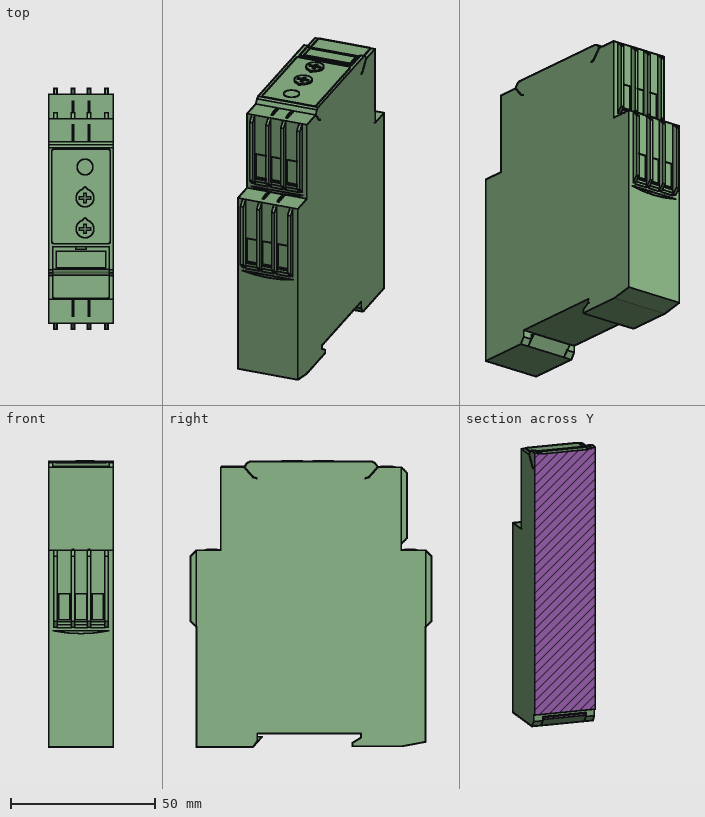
import cadquery as cq

WIDTH = 22.5
DEPTH = 83.6
BASE_Y = 39.8
HEAD_Y = 31.3
STEP_Z = 68.3
HEAD_Z = 97.1
CAP_Z = 99.1
CAP_FLAT_Y = 21.2
CAP_Y = 23.3
CAP_FACET_Y = 22.2
CAP_FACET_Z = 98.6

RAIL_Z = 4.7
RAIL_BACK_Y = 17.3
RAIL_FRONT_Y = -18.6
LIP_Y = 14.3
LIP_TIP_Z = 1.5
LIP_ROOT_Z = 3.3
BACK_FOOT_Z = 0.3
BACK_BEVEL_Y = 31.8
BACK_BEVEL_Z = 1.8
FRONT_FOOT_Y = -20.2
FRONT_BEVEL_Z = 2.2
LATCH_TIP_Y = -16.9
LATCH_TIP_Z = 3.7
LATCH_WIDTH = 15.9

RIB_OUT = DEPTH / 2 - BASE_Y
RIB_WIDTH = 1.1
RIB_LENGTH = 26.6
INNER_RIB_X = 2.8
OUTER_RIB_X = 8.8
RIB_XS = (-OUTER_RIB_X, -INNER_RIB_X, INNER_RIB_X, OUTER_RIB_X)
OUTER_BAY_X = (OUTER_RIB_X + INNER_RIB_X) / 2
OUTER_BAY_WIDTH = OUTER_RIB_X - INNER_RIB_X - RIB_WIDTH
INNER_BAY_WIDTH = 2 * INNER_RIB_X - RIB_WIDTH
BAYS = ((-OUTER_BAY_X, OUTER_BAY_WIDTH), (0, INNER_BAY_WIDTH), (OUTER_BAY_X, OUTER_BAY_WIDTH))
WINDOW_WIDTH = 4.0
WINDOW_HEIGHT = 8.9
WINDOW_DROP = 19.6
RELIEF = 0.2
GROOVE_HEIGHT = 1.1
GROOVE_DROP = 24.8
GRIP_HALF_WIDTH = 9.5
GRIP_DROP = 27.9
GRIP_SAG = 1.0
MARK_WIDTH = 0.6
MARK_LENGTH = 6.0
MARK_RISE = 0.4

LABEL_WIDTH = 20.2
LABEL_FRONT_Y = -12.0
LABEL_BACK_Y = 20.7
LABEL_RADIUS = 0.6
LABEL_Z = CAP_Z - RELIEF
CONTROL_X = 1.4
LAMP_Y = 14.5
LAMP_DIAMETER = 5.5
LAMP_DEPTH = 0.1
DIAL_YS = (3.8, -7.0)
DIAL_RADIUS = 3.1
DIAL_TOP_Z = 99.4
POINTER_REACH = 3.9
POINTER_HALF_WIDTH = 1.2
POINTER_BASE = 2.8
CROSS_LENGTH = 4.0
CROSS_HEIGHT = 3.2
CROSS_ARM = 0.8

LID_WIDTH = 19.6
LID_BACK_Y = -13.2
LID_FRONT_Y = -31.0
LID_RAISE = 0.3
LID_SINK = 0.3
LID_RADIUS = 0.6
LID_WINDOW_WIDTH = 17.3
LID_WINDOW_BACK_Y = -14.7
LID_WINDOW_FRONT_Y = -20.4
NOTCH_WIDTH = 3.5
NOTCH_LENGTH = 0.8

SEAM_DEPTH = 0.1
SEAM_WIDTH = 0.2
SEAM_BEND = (20.1, 93.5)
SEAM_END = (18.9, 93.1)


def side_profile(width):
    """Sketch plane whose local x, y are Y, Z; extrude(width) runs toward +X, centred on X = 0."""
    return cq.Workplane("YZ", origin=(-width / 2, 0, 0))


def box(x_mid, x_size, y_range, z_range):
    y_min, y_max = sorted(y_range)
    z_min, z_max = sorted(z_range)
    return (
        cq.Workplane("XY", origin=(x_mid, (y_min + y_max) / 2, z_min))
        .rect(x_size, y_max - y_min)
        .extrude(z_max - z_min)
    )


def make_housing():
    outline = (
        side_profile(WIDTH)
        .moveTo(-BASE_Y, 0)
        .lineTo(-BASE_Y, STEP_Z)
        .lineTo(-HEAD_Y, STEP_Z)
        .lineTo(-HEAD_Y, HEAD_Z)
        .lineTo(-CAP_Y, HEAD_Z)
        .lineTo(-CAP_FACET_Y, CAP_FACET_Z)
        .lineTo(-CAP_FLAT_Y, CAP_Z)
        .lineTo(CAP_FLAT_Y, CAP_Z)
        .lineTo(CAP_FACET_Y, CAP_FACET_Z)
        .lineTo(CAP_Y, HEAD_Z)
        .lineTo(HEAD_Y, HEAD_Z)
        .lineTo(HEAD_Y, STEP_Z)
        .lineTo(BASE_Y, STEP_Z)
        .lineTo(BASE_Y, BACK_BEVEL_Z)
        .lineTo(BACK_BEVEL_Y, BACK_FOOT_Z)
        .lineTo(LIP_Y, BACK_FOOT_Z)
        .lineTo(LIP_Y, LIP_TIP_Z)
        .lineTo(RAIL_BACK_Y, LIP_ROOT_Z)
        .lineTo(RAIL_BACK_Y, RAIL_Z)
        .lineTo(RAIL_FRONT_Y, RAIL_Z)
        .lineTo(RAIL_FRONT_Y, FRONT_BEVEL_Z)
        .lineTo(FRONT_FOOT_Y, 0)
        .close()
    )
    return outline.extrude(WIDTH)


def make_latch():
    return (
        side_profile(LATCH_WIDTH)
        .moveTo(LATCH_TIP_Y, LATCH_TIP_Z)
        .lineTo(FRONT_FOOT_Y, 0)
        .lineTo(FRONT_FOOT_Y, LATCH_TIP_Z)
        .close()
        .extrude(LATCH_WIDTH)
    )


def make_rib(x, face_y, top_z):
    """Vertical rib with 45 degree ends on the front face at Y = -face_y."""
    bottom_z = top_z - RIB_LENGTH
    tip_y = -face_y - RIB_OUT
    return (
        cq.Workplane("YZ", origin=(x - RIB_WIDTH / 2, 0, 0))
        .moveTo(-face_y, top_z)
        .lineTo(tip_y, top_z - RIB_OUT)
        .lineTo(tip_y, bottom_z + RIB_OUT)
        .lineTo(-face_y, bottom_z)
        .close()
        .extrude(RIB_WIDTH)
    )


def make_mark(x, start_y, shoulder_z):
    """Low arched mark running outward (-Y) from start_y along a shoulder."""
    return (
        cq.Workplane("YZ", origin=(x - MARK_WIDTH / 2, 0, 0))
        .moveTo(start_y, shoulder_z)
        .threePointArc(
            (start_y - MARK_LENGTH / 2, shoulder_z + MARK_RISE),
            (start_y - MARK_LENGTH, shoulder_z),
        )
        .close()
        .extrude(MARK_WIDTH)
    )


def make_terminal_recesses(face_y, top_z):
    """Wire windows, stepped grooves and arched grip recess of one front terminal block."""
    outside_y = -face_y - RIB_OUT
    grip_z = top_z - GRIP_DROP
    recesses = (
        cq.Workplane("XZ", origin=(0, -face_y + RELIEF, 0))
        .moveTo(-GRIP_HALF_WIDTH, grip_z)
        .threePointArc((0, grip_z - GRIP_SAG), (GRIP_HALF_WIDTH, grip_z))
        .close()
        .extrude(RELIEF)
    )
    window_z = top_z - WINDOW_DROP
    window_span = (window_z - WINDOW_HEIGHT / 2, window_z + WINDOW_HEIGHT / 2)
    for x, bay_width in BAYS:
        recesses = recesses.add(box(x, WINDOW_WIDTH, (outside_y, -face_y + RELIEF), window_span))
        for level in (0, 1):
            groove_top = top_z - GROOVE_DROP - level * GROOVE_HEIGHT
            depth = RELIEF * (level + 1) / 2
            groove_span = (groove_top - GROOVE_HEIGHT, groove_top)
            recesses = recesses.add(box(x, bay_width, (outside_y, -face_y + depth), groove_span))
    return recesses.combine()


def add_terminal_block(body, face_y, top_z, mark_y, at_back):
    """Build a block on the front face, mirrored to the back face when at_back is set."""
    def place(shape):
        return shape.mirror("XZ") if at_back else shape

    body = body.cut(place(make_terminal_recesses(face_y, top_z)))
    for x in RIB_XS:
        body = body.union(place(make_rib(x, face_y, top_z)))
    for x in (-INNER_RIB_X, INNER_RIB_X):
        body = body.union(place(make_mark(x, mark_y, top_z)))
    return body


def cut_label(body):
    label_mid_y = (LABEL_FRONT_Y + LABEL_BACK_Y) / 2
    label = (
        cq.Workplane("XY", origin=(0, label_mid_y, LABEL_Z))
        .rect(LABEL_WIDTH, LABEL_BACK_Y - LABEL_FRONT_Y)
        .extrude(RELIEF)
        .edges("|Z")
        .fillet(LABEL_RADIUS)
    )
    lamp = (
        cq.Workplane("XY", origin=(CONTROL_X, LAMP_Y, LABEL_Z - LAMP_DEPTH))
        .circle(LAMP_DIAMETER / 2)
        .extrude(LAMP_DEPTH)
    )
    return body.cut(label).cut(lamp)


def make_dial(y):
    """Rotary dial with a pointer toward +Y and a cross-shaped driver slot."""
    height = DIAL_TOP_Z - LABEL_Z
    base = cq.Workplane("XY", origin=(CONTROL_X, y, LABEL_Z))
    pointer = (
        base.moveTo(-POINTER_HALF_WIDTH, POINTER_BASE)
        .lineTo(0, POINTER_REACH)
        .lineTo(POINTER_HALF_WIDTH, POINTER_BASE)
        .lineTo(0, 0)
        .close()
        .extrude(height)
    )
    slot = base.rect(CROSS_LENGTH, CROSS_ARM).extrude(height)
    slot = slot.union(base.rect(CROSS_ARM, CROSS_HEIGHT).extrude(height))
    return base.circle(DIAL_RADIUS).extrude(height).union(pointer).cut(slot)


def add_lid(body):
    """Lid sunk into the cap top and raised above the shoulder in front of it."""
    sunk_z = CAP_Z - LID_SINK
    raised_z = HEAD_Z + LID_RAISE
    clearance = (
        side_profile(LID_WIDTH)
        .moveTo(LID_BACK_Y, CAP_Z)
        .lineTo(LID_BACK_Y, sunk_z)
        .lineTo(-CAP_FLAT_Y + LID_SINK, sunk_z)
        .lineTo(-CAP_FACET_Y + LID_SINK, CAP_FACET_Z - LID_SINK)
        .lineTo(-CAP_Y + LID_SINK, raised_z)
        .lineTo(-HEAD_Y, raised_z)
        .lineTo(-HEAD_Y, CAP_Z)
        .close()
        .extrude(LID_WIDTH)
    )
    flap = (
        box(0, LID_WIDTH, (LID_FRONT_Y, -CAP_FLAT_Y), (HEAD_Z, raised_z))
        .edges("|Z and <Y")
        .fillet(LID_RADIUS)
    )
    recess_span = (sunk_z - RELIEF, sunk_z)
    window = box(0, LID_WINDOW_WIDTH, (LID_WINDOW_FRONT_Y, LID_WINDOW_BACK_Y), recess_span)
    notch = box(0, NOTCH_WIDTH, (LID_BACK_Y - NOTCH_LENGTH, LID_BACK_Y), recess_span)
    return body.cut(clearance).union(flap).cut(window).cut(notch)


def cut_cap_seams(body):
    """Fine seam from each end of the cap, inward and down both side faces."""
    bend_y, bend_z = SEAM_BEND
    end_y, end_z = SEAM_END
    for side in (-1, 1):
        for end in (-1, 1):
            seam = (
                cq.Workplane("YZ", origin=(side * WIDTH / 2, 0, 0))
                .moveTo(end * CAP_Y, HEAD_Z)
                .lineTo(end * bend_y, bend_z)
                .lineTo(end * end_y, end_z)
                .lineTo(end * end_y, end_z + SEAM_WIDTH)
                .lineTo(end * bend_y, bend_z + SEAM_WIDTH)
                .lineTo(end * (CAP_Y - SEAM_WIDTH), HEAD_Z)
                .close()
                .extrude(-side * SEAM_DEPTH)
            )
            body = body.cut(seam)
    return body


result = make_housing().union(make_latch())
result = add_terminal_block(result, BASE_Y, STEP_Z, -HEAD_Y, at_back=False)
result = add_terminal_block(result, BASE_Y, STEP_Z, -HEAD_Y, at_back=True)
result = add_terminal_block(result, HEAD_Y, HEAD_Z, -CAP_Y, at_back=True)
result = cut_label(result)
for dial_y in DIAL_YS:
    result = result.union(make_dial(dial_y))
result = add_lid(result)
result = cut_cap_seams(result)